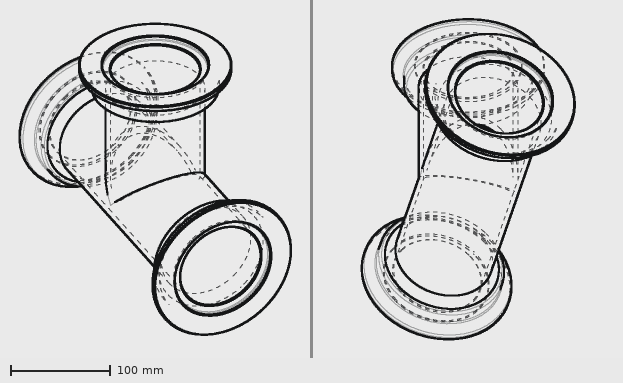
import cadquery as cq
import math

RUN_LENGTH = 309.0
BRANCH_LENGTH = RUN_LENGTH / 2

PIPE_RADIUS = 100.0 / 2
BORE_RADIUS = 90.0 / 2

FLANGE_RADIUS = 154.0 / 2
FACE_CHAMFER = 1.0
RIM_END = 4.0
RIM_ROUND = 2.8
BACK_CONE_SLOPE = math.radians(60)
CONE_FILLET = 2.2

HUB_RADIUS = 64.5
HUB_END = 27.8
HUB_ROUND = 2.5

WELD_CONE_RADIUS = 58.7
WELD_CONE_END = 38.3

RECESS_RADIUS = 53.5
RECESS_DEPTH = 5.0
RECESS_CHAMFER = 1.0
RECESS_FILLET = 1.0
BORE_CHAMFER = 1.0


def flange(with_weld_cone):
    """Solid flange and hub: sealing face at z = 0, body below it."""
    cone_sin = math.sin(BACK_CONE_SLOPE)
    cone_cos = math.cos(BACK_CONE_SLOPE)
    cone_start_radius = FLANGE_RADIUS - RIM_ROUND * (1 - cone_cos)
    cone_start = -RIM_END - RIM_ROUND * cone_sin
    hub_corner = cone_start - (cone_start_radius - HUB_RADIUS) / math.tan(BACK_CONE_SLOPE)
    tangent_length = CONE_FILLET * math.tan(BACK_CONE_SLOPE / 2)
    profile = (
        cq.Workplane("XZ")
        .lineTo(FLANGE_RADIUS - FACE_CHAMFER, 0)
        .lineTo(FLANGE_RADIUS, -FACE_CHAMFER)
        .lineTo(FLANGE_RADIUS, -RIM_END)
        .radiusArc((cone_start_radius, cone_start), RIM_ROUND)
        .lineTo(HUB_RADIUS + tangent_length * cone_sin, hub_corner + tangent_length * cone_cos)
        .radiusArc((HUB_RADIUS, hub_corner - tangent_length), -CONE_FILLET)
        .lineTo(HUB_RADIUS, -HUB_END + HUB_ROUND)
        .radiusArc((HUB_RADIUS - HUB_ROUND, -HUB_END), HUB_ROUND)
    )
    if with_weld_cone:
        profile = profile.lineTo(WELD_CONE_RADIUS, -HUB_END).lineTo(PIPE_RADIUS, -WELD_CONE_END)
        profile = profile.lineTo(0, -WELD_CONE_END)
    else:
        profile = profile.lineTo(0, -HUB_END)
    return profile.close().revolve(360, (0, 0), (0, 1))


def arm(length, with_weld_cone):
    """Solid pipe arm rising from the origin to a flange at z = length."""
    pipe = cq.Workplane("XY").circle(PIPE_RADIUS).extrude(length)
    return pipe.union(flange(with_weld_cone).translate((0, 0, length)))


def arm_bore(length):
    """Bore of one arm with its chamfered end and the stepped recess."""
    floor = length - RECESS_DEPTH
    return (
        cq.Workplane("XZ")
        .lineTo(BORE_RADIUS, 0)
        .lineTo(BORE_RADIUS, floor - BORE_CHAMFER)
        .lineTo(BORE_RADIUS + BORE_CHAMFER, floor)
        .lineTo(RECESS_RADIUS - RECESS_FILLET, floor)
        .radiusArc((RECESS_RADIUS, floor + RECESS_FILLET), -RECESS_FILLET)
        .lineTo(RECESS_RADIUS, length - RECESS_CHAMFER)
        .lineTo(RECESS_RADIUS + RECESS_CHAMFER, length)
        .lineTo(0, length)
        .close()
        .revolve(360, (0, 0), (0, 1))
    )


def toward_x(body, side):
    """Turn a body from +Z to +X (side = 1) or -X (side = -1)."""
    return body.rotate((0, 0, 0), (0, 1, 0), 90 * side)


result = arm(BRANCH_LENGTH, with_weld_cone=False)
for side in (-1, 1):
    result = result.union(toward_x(arm(RUN_LENGTH / 2, with_weld_cone=True), side))

result = result.cut(arm_bore(BRANCH_LENGTH))
for side in (-1, 1):
    result = result.cut(toward_x(arm_bore(RUN_LENGTH / 2), side))